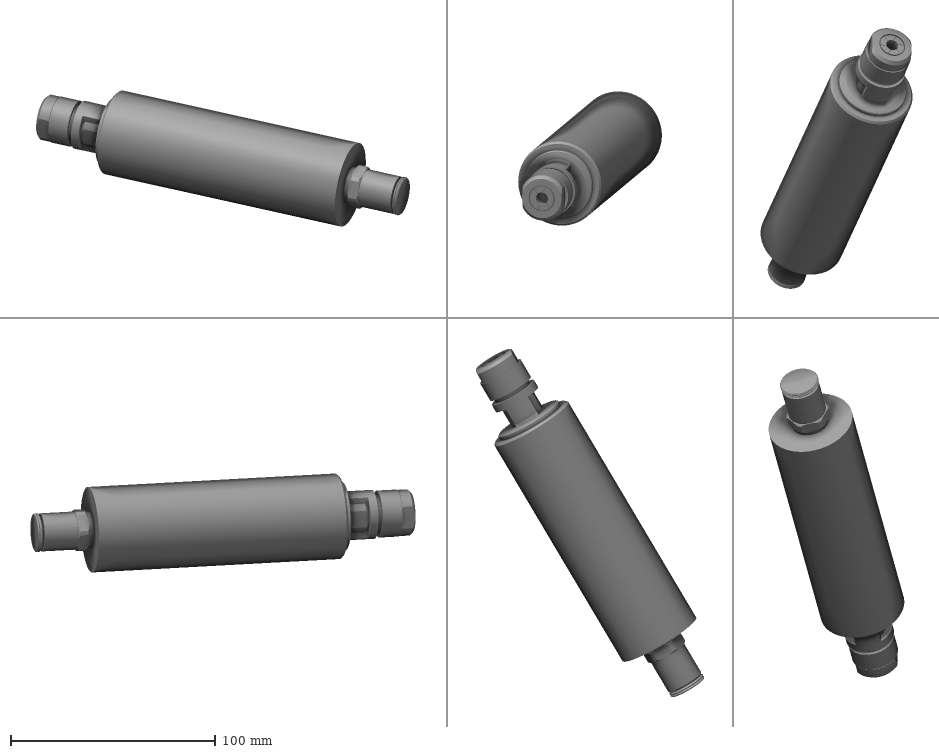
import cadquery as cq
import math

TOTAL_LENGTH = 188.8

TIP_DIA = 22.7
TIP_CHAMFER = 1.5
TIP_ACROSS_FLATS = 19.8
SHOULDER_GROOVE_START = 6.6
SHOULDER_GROOVE_DIA = 21.9
COLLAR_DIA = 23.0
COLLAR_START = 7.0
COLLAR_END = 16.8
NECK_DIA = 19.0
SLEEVE_DIA = 24.0
SLEEVE_START = 19.0

WINDOW_START = 23.0
WINDOW_FLOOR = 6.2
CORE_DIA = 19.0
CORE_CONE_END = 24.5
CORE_ACROSS_FLATS = 17.2

FLARE_RADIUS = 1.7
FLANGE_START = 33.2
FLANGE_CONE_DIA = 33.2
FLANGE_CONE_LENGTH = 0.5
FLANGE_DIA = 34.0
FLANGE_CHAMFER = (FLANGE_DIA - FLANGE_CONE_DIA) / 2
BODY_DIA = 42.0
BODY_START = 36.0
BODY_END = 161.0
BODY_CHAMFER = 1.0

REAR_NECK_DIA = 18.0
HEX_START = 163.3
HEX_END = 168.8
HEX_ACROSS_FLATS = 19.3
HEX_CORNER_DIA = 21.2
HEX_CHAMFER = 0.8
HEX_TILT = 6.0
BARREL_DIA = 18.7
BARREL_END = 185.6
REAR_GROOVE_DIA = 13.2
RING_COUNT = 2
RING_START = 186.5
RING_WIDTH = (TOTAL_LENGTH - RING_START) / RING_COUNT
RING_DIA = 19.0
RING_ROOT_DIA = 18.1

SOCKET_DIA = 13.2
JAW_DIA = 11.9
SOCKET_DEPTH = 1.0
BORE_DIA = 6.0
BORE_DEPTH = 7.5
SLIT_COUNT = 6
SLIT_WIDTH = 0.23
SLIT_OFFSET = 1.04


def disc(start, end, diameter):
    """Cylinder on the X axis between two stations."""
    return cq.Workplane("YZ", origin=(start, 0, 0)).circle(diameter / 2).extrude(end - start)


def cone(start, end, start_diameter, end_diameter):
    """Truncated cone on the X axis between two stations."""
    solid = cq.Solid.makeCone(
        start_diameter / 2, end_diameter / 2, end - start, cq.Vector(start, 0, 0), cq.Vector(1, 0, 0)
    )
    return cq.Workplane("XY").newObject([solid])


def make_tip():
    """Chamfered nose tip with two wrench flats facing -Y and +Y."""
    tip = disc(0, SHOULDER_GROOVE_START, TIP_DIA).faces("<X").chamfer(TIP_CHAMFER)
    tip = tip.union(disc(SHOULDER_GROOVE_START, COLLAR_START, SHOULDER_GROOVE_DIA))
    flats = cq.Workplane("XY").box(2 * COLLAR_START, TIP_ACROSS_FLATS, TIP_DIA)
    return tip.intersect(flats)


def make_sleeve():
    """Sleeve flaring into the flange, cut away on both sides to leave two bridges."""
    radius = SLEEVE_DIA / 2
    sleeve = (
        cq.Workplane("XZ")
        .moveTo(SLEEVE_START, 0)
        .lineTo(SLEEVE_START, radius)
        .lineTo(FLANGE_START - FLARE_RADIUS, radius)
        .radiusArc((FLANGE_START, radius + FLARE_RADIUS), -FLARE_RADIUS)
        .lineTo(FLANGE_START, 0)
        .close()
        .revolve(360, (0, 0, 0), (1, 0, 0))
    )
    window_length = FLANGE_START - WINDOW_START
    for side in (-1, 1):
        window = cq.Workplane("XY").box(window_length, SLEEVE_DIA, 2 * SLEEVE_DIA).translate(
            (WINDOW_START + window_length / 2, side * (WINDOW_FLOOR + SLEEVE_DIA / 2), 0)
        )
        sleeve = sleeve.cut(window)
    return sleeve


def make_core():
    """Round core inside the windows with a coned front end, flattened towards -Y and +Y."""
    core = cone(WINDOW_START, CORE_CONE_END, CORE_ACROSS_FLATS, CORE_DIA)
    core = core.union(disc(CORE_CONE_END, FLANGE_START, CORE_DIA))
    slab = cq.Workplane("XY").box(2 * FLANGE_START, CORE_ACROSS_FLATS, CORE_DIA)
    return core.intersect(slab)


def make_body():
    """Main cylinder with its coned flange and front-edge bevel, as one turned profile."""
    flare_end_radius = SLEEVE_DIA / 2 + FLARE_RADIUS
    cone_end = FLANGE_START + FLANGE_CONE_LENGTH
    profile = [
        (FLANGE_START, 0),
        (FLANGE_START, flare_end_radius),
        (cone_end, FLANGE_CONE_DIA / 2),
        (cone_end + FLANGE_CHAMFER, FLANGE_DIA / 2),
        (BODY_START, FLANGE_DIA / 2),
        (BODY_START, BODY_DIA / 2 - BODY_CHAMFER),
        (BODY_START + BODY_CHAMFER, BODY_DIA / 2),
        (BODY_END, BODY_DIA / 2),
        (BODY_END, 0),
    ]
    return cq.Workplane("XY").polyline(profile).close().revolve(360, (0, 0, 0), (1, 0, 0))


def make_hexagon():
    """Slightly rotated hexagon with its corners turned round and chamfered."""
    corner_distance = HEX_ACROSS_FLATS / math.cos(math.pi / 6)
    length = HEX_END - HEX_START
    hexagon = cq.Workplane("YZ", origin=(HEX_START, 0, 0)).polygon(6, corner_distance).extrude(length)
    hexagon = hexagon.rotate((0, 0, 0), (1, 0, 0), HEX_TILT)
    turned = disc(HEX_START, HEX_END, HEX_CORNER_DIA).faces("<X or >X").chamfer(HEX_CHAMFER)
    return hexagon.intersect(turned)


def make_rear_connector():
    """Neck, hexagon, barrel, groove and V-shaped end rings."""
    connector = disc(BODY_END, HEX_START, REAR_NECK_DIA).union(make_hexagon())
    connector = connector.union(disc(HEX_END, BARREL_END, BARREL_DIA))
    connector = connector.union(disc(BARREL_END, RING_START, REAR_GROOVE_DIA))
    for index in range(RING_COUNT):
        start = RING_START + index * RING_WIDTH
        peak = start + RING_WIDTH / 2
        connector = connector.union(cone(start, peak, RING_ROOT_DIA, RING_DIA))
        connector = connector.union(cone(peak, start + RING_WIDTH, RING_DIA, RING_ROOT_DIA))
    return connector


def make_socket():
    """Cutter for the nose face: ring groove, centre bore and a pinwheel of thin slits."""
    cutter = disc(0, SOCKET_DEPTH, SOCKET_DIA).cut(disc(0, SOCKET_DEPTH, JAW_DIA))
    cutter = cutter.union(disc(0, BORE_DEPTH, BORE_DIA))
    slit_length = (SOCKET_DIA + JAW_DIA) / 4
    slit = cq.Workplane("XY").box(SOCKET_DEPTH, slit_length, SLIT_WIDTH).translate(
        (SOCKET_DEPTH / 2, -slit_length / 2, SLIT_OFFSET)
    )
    for index in range(SLIT_COUNT):
        cutter = cutter.union(slit.rotate((0, 0, 0), (1, 0, 0), index * 360 / SLIT_COUNT))
    return cutter


result = (
    make_tip()
    .union(disc(COLLAR_START, COLLAR_END, COLLAR_DIA))
    .union(disc(COLLAR_END, SLEEVE_START, NECK_DIA))
    .union(make_sleeve())
    .union(make_core())
    .union(make_body())
    .union(make_rear_connector())
    .cut(make_socket())
)